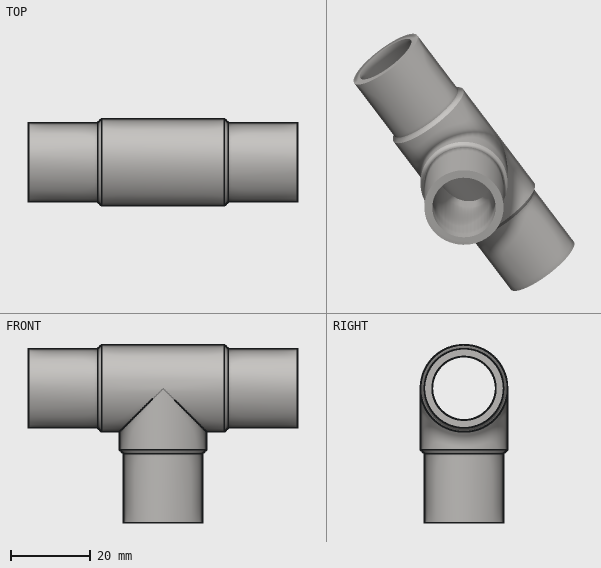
import cadquery as cq

run_length = 68.0
spigot_diameter = 20.0
collar_diameter = 22.0
bore_diameter = 16.0
collar_reach = 16.5

arm_length = run_length / 2
collar_chamfer = (collar_diameter - spigot_diameter) / 2


def arm_cylinder(direction, diameter, length):
    """Solid cylinder from the tee centre outward along one arm."""
    plane = cq.Plane(origin=(0, 0, 0), xDir=(0, 1, 0), normal=direction)
    return cq.Workplane(plane).circle(diameter / 2).extrude(length)


def arm_body(direction):
    """One arm: a collar with a chamfered end and a spigot beyond it."""
    straight_collar = arm_cylinder(direction, collar_diameter, collar_reach - collar_chamfer)
    plane = cq.Plane(
        origin=tuple(component * (collar_reach - collar_chamfer) for component in direction),
        xDir=(0, 1, 0),
        normal=direction,
    )
    chamfered_end = (
        cq.Workplane(plane)
        .circle(collar_diameter / 2)
        .workplane(offset=collar_chamfer)
        .circle(spigot_diameter / 2)
        .loft(ruled=True)
    )
    spigot = arm_cylinder(direction, spigot_diameter, arm_length)
    return spigot.union(straight_collar).union(chamfered_end)


arm_directions = [(1, 0, 0), (-1, 0, 0), (0, 0, -1)]

result = arm_body(arm_directions[0])
for direction in arm_directions[1:]:
    result = result.union(arm_body(direction))

for direction in arm_directions:
    result = result.cut(arm_cylinder(direction, bore_diameter, arm_length))